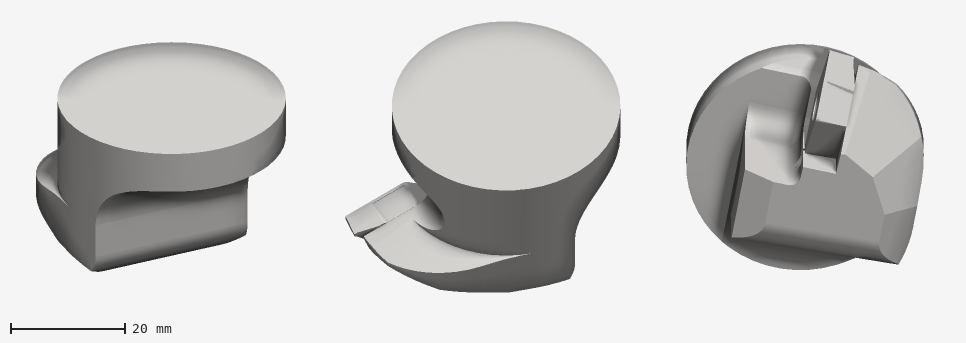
import cadquery as cq
import math

total_height = 29.2
flange_radius = 20.0
flange_thickness = 7.6
arm_radius = 27.5
arm_shift = 8.95
arm_top_z = -16.9
flank_angle = 27.5
facet_slope = 29.4
facet_back_y = 5.85
facet_front_y = -14.43

relief_x = 8.0
relief_radius = 9.55
corner_radius = 5.7
back_y = 10.95

seat_angle = 2.7

gullet_radius = 5.35
gullet_x = -20.35
gullet_z = -11.6

pocket_x = -5.5
pocket_y = 1.65
pocket_top_radius = 4.5
pocket_wall_radius = 1.85
clearance_diameter = 3.7
clearance_depth = 0.6
clearance_x = -7.65

tip_z = -21.65
tip_x = -28.85
tip_half_width = 0.45
insert_half_height = 6.05
insert_top_y = 1.35
seat_y = -4.2
insert_taper = 4
insert_corner_radius = 1.0
seat_x = -9.45
seat_corner_radius = 3.3
seat_round_z = -14.55
insert_thickness = insert_top_y - seat_y
screw_hole_diameter = 3.5
screw_head_diameter = 5.25
screw_head_depth = 1.45
tip_bevel_length = 3.65
tip_bevel_height = 1.12
tip_bevel_start = 0.85
recess_start = 5.0
recess_step = 0.15
recess_tilt = 6
recess_ramp = 25
recess_land = 0.6

margin = 48.9


def turned(body):
    return body.rotate((0, 0, 0), (0, 0, 1), seat_angle)


def xz_prism(outline, y_low, y_high):
    """Extrude a wire drawn on an XZ workplane from y_low to y_high."""
    return outline.extrude(y_high - y_low).translate((0, y_high, 0))


def arm_blank():
    """Arm with a conical top, a shifted round outline and a round end."""
    outline = (
        cq.Workplane("XY").workplane(offset=-total_height)
        .moveTo(0, -flange_radius)
        .lineTo(-arm_shift, -flange_radius)
        .threePointArc((-arm_shift - flange_radius, 0), (-arm_shift, flange_radius))
        .lineTo(0, flange_radius)
        .close()
        .extrude(total_height + arm_top_z)
    )
    cone_rise = flange_radius * math.tan(math.radians(flank_angle))
    rim_drop = (arm_radius - flange_radius) * math.tan(math.radians(flank_angle))
    cone = (
        cq.Workplane("XZ")
        .polyline([
            (0, arm_top_z + cone_rise),
            (arm_radius, arm_top_z - rim_drop),
            (arm_radius, -total_height),
            (0, -total_height),
        ])
        .close()
        .revolve(360, (0, 0, 0), (0, 1, 0))
    )
    return outline.intersect(cone)


def facet_cutters():
    """One block per edge of the bottom outline; each leaves a facet of the common slope."""
    bottom_outline = [
        (margin, facet_back_y),
        (-10.2, facet_back_y),
        (-13.2, -5.57),
        (-9.75, -11.1),
        (-3.0, facet_front_y),
        (margin, facet_front_y),
    ]
    slope = math.radians(facet_slope)
    cutters = []
    for start, end in zip(bottom_outline, bottom_outline[1:]):
        step_x = end[0] - start[0]
        step_y = end[1] - start[1]
        length = math.hypot(step_x, step_y)
        outward = (
            step_y / length * math.sin(slope),
            -step_x / length * math.sin(slope),
            -math.cos(slope),
        )
        facet_plane = cq.Plane(
            origin=(start[0], start[1], -total_height), xDir=(step_x, step_y, 0), normal=outward
        )
        cutters.append(cq.Workplane(facet_plane).rect(4 * margin, 4 * margin).extrude(margin))
    return cutters


def side_relief():
    """Hollow-cornered step on the +X side, rounded over at the bottom."""
    arc_x = relief_x + relief_radius
    arc_z = -flange_thickness - relief_radius
    diagonal = math.sqrt(0.5)
    round_x = relief_x - corner_radius
    round_z = -total_height + corner_radius
    outline = (
        cq.Workplane("XZ")
        .moveTo(margin, -flange_thickness)
        .lineTo(arc_x, -flange_thickness)
        .threePointArc(
            (arc_x - relief_radius * diagonal, arc_z + relief_radius * diagonal),
            (relief_x, arc_z),
        )
        .lineTo(relief_x, round_z)
        .threePointArc(
            (round_x + corner_radius * diagonal, round_z - corner_radius * diagonal),
            (round_x, -total_height),
        )
        .lineTo(round_x, -margin)
        .lineTo(margin, -margin)
        .close()
    )
    return xz_prism(outline, -margin, margin)


def back_relief():
    return cq.Workplane("XY").box(
        2 * margin, margin, margin, centered=(True, False, False)
    ).translate((0, back_y, -flange_thickness - margin))


def gullet():
    """Groove along the turned Y direction; its lower flank also trims the arm."""
    angle = math.radians(flank_angle)
    tangent_x = gullet_x + gullet_radius * math.sin(angle)
    tangent_rise = gullet_radius * math.cos(angle)
    reach = margin + tangent_x
    flank_rise = tangent_rise + reach * math.tan(angle)
    outline = (
        cq.Workplane("XZ")
        .moveTo(-margin, gullet_z + flank_rise)
        .lineTo(tangent_x, gullet_z + tangent_rise)
        .threePointArc(
            (gullet_x + gullet_radius, gullet_z), (tangent_x, gullet_z - tangent_rise)
        )
        .lineTo(-margin, gullet_z - flank_rise)
        .close()
    )
    return turned(xz_prism(outline, -margin, margin))


def chip_pocket():
    """Open space on the +Y side of the insert, with rounded inner corners."""
    pocket = (
        cq.Workplane("XY")
        .box(margin, margin, margin, centered=False)
        .translate((pocket_x - margin, pocket_y, -flange_thickness - margin))
        .edges(">X and >Z").fillet(pocket_top_radius)
        .faces("<Y").edges("not(<X or <Z)").fillet(pocket_wall_radius)
    )
    return turned(pocket)


def tool_clearance():
    """Round clearance that bites into the pocket's side wall and its fillet."""
    return turned(
        cq.Workplane("XZ", origin=(0, margin, 0))
        .center(clearance_x, tip_z)
        .circle(clearance_diameter / 2)
        .extrude(margin - pocket_y + clearance_depth)
    )


def insert_seat():
    """Slot for the insert, open below, with a rounded and inclined upper end."""
    angle = math.radians(flank_angle)
    centre_x = seat_x - seat_corner_radius
    middle_angle = math.radians(90 - flank_angle) / 2
    end_x = centre_x + seat_corner_radius * math.sin(angle)
    end_z = seat_round_z + seat_corner_radius * math.cos(angle)
    outline = (
        cq.Workplane("XZ")
        .moveTo(seat_x, -margin)
        .lineTo(seat_x, seat_round_z)
        .threePointArc(
            (
                centre_x + seat_corner_radius * math.cos(middle_angle),
                seat_round_z + seat_corner_radius * math.sin(middle_angle),
            ),
            (end_x, end_z),
        )
        .lineTo(-margin, end_z + (margin + end_x) * math.tan(angle))
        .lineTo(-margin, -margin)
        .close()
    )
    beyond_flange = (
        cq.Workplane("XY")
        .box(margin, 2 * margin, margin, centered=(False, True, False))
        .translate((-margin, 0, -flange_thickness - margin))
    )
    return turned(xz_prism(outline, seat_y, margin / 2).intersect(beyond_flange))


def make_holder():
    shank = cq.Workplane("XY").circle(flange_radius).extrude(-total_height)
    holder = shank.union(arm_blank())
    cutters = [
        side_relief(), back_relief(), gullet(), chip_pocket(), insert_seat(), tool_clearance(),
        *facet_cutters(),
    ]
    for cutter in cutters:
        holder = holder.cut(cutter)
    return holder


def flank_recess(side):
    """Shallow pocket along one flank; side is +1 for the upper flank, -1 for the lower."""
    quarter = cq.Workplane("XY").box(margin, margin, margin, centered=False).translate((0, -margin, 0))
    floor_side = quarter.rotate((0, 0, 0), (1, 0, 0), recess_tilt).translate((0, 0, -recess_step))
    ramp_side = quarter.rotate((0, 0, 0), (0, 1, 0), recess_ramp)
    recess = (
        floor_side.intersect(ramp_side)
        .translate((recess_start, 0, 0))
        .rotate((0, 0, 0), (0, 1, 0), -flank_angle)
        .translate((tip_x, insert_top_y - recess_land, tip_z + tip_half_width))
    )
    if side < 0:
        recess = recess.mirror("XY", (0, 0, tip_z))
    return recess


def make_insert():
    """Pointed insert with relieved flanks and a screw hole, cut off square at the seat."""
    shoulder_x = tip_x + (insert_half_height - tip_half_width) / math.tan(math.radians(flank_angle))
    back_x = 2 * shoulder_x - tip_x
    outline = [
        (tip_x, tip_half_width),
        (shoulder_x, insert_half_height),
        (back_x, tip_half_width),
        (back_x, -tip_half_width),
        (shoulder_x, -insert_half_height),
        (tip_x, -tip_half_width),
    ]
    blank = (
        cq.Workplane("XZ", origin=(0, insert_top_y, tip_z))
        .polyline(outline).close()
        .extrude(insert_thickness, taper=insert_taper)
    )
    for side in (1, -1):
        shoulder_point = (shoulder_x, (insert_top_y + seat_y) / 2, tip_z + side * insert_half_height)
        blank = blank.edges(cq.selectors.NearestToPointSelector(shoulder_point)).fillet(insert_corner_radius)
    behind_seat = (
        cq.Workplane("XY").box(margin, 2 * margin, 2 * margin, centered=(False, True, True))
        .translate((seat_x, 0, 0))
    )
    tip_bevel = (
        cq.Workplane("XY").workplane(offset=-margin)
        .polyline([
            (tip_x, seat_y),
            (tip_x, seat_y + tip_bevel_height),
            (tip_x + tip_bevel_start, seat_y + tip_bevel_height),
            (tip_x + tip_bevel_start + tip_bevel_length, seat_y),
        ])
        .close()
        .extrude(margin)
    )
    screw_hole = cq.Workplane("XZ", origin=(shoulder_x, insert_top_y, tip_z))
    screw_hole = (
        screw_hole.circle(screw_hole_diameter / 2).extrude(insert_thickness)
        .union(screw_hole.circle(screw_head_diameter / 2).extrude(screw_head_depth))
    )
    insert = blank.cut(behind_seat).cut(tip_bevel).cut(screw_hole)
    for side in (1, -1):
        insert = insert.cut(flank_recess(side))
    return turned(insert)


holder = make_holder()
insert = make_insert()
result = cq.Compound.makeCompound([holder.val(), insert.val()])